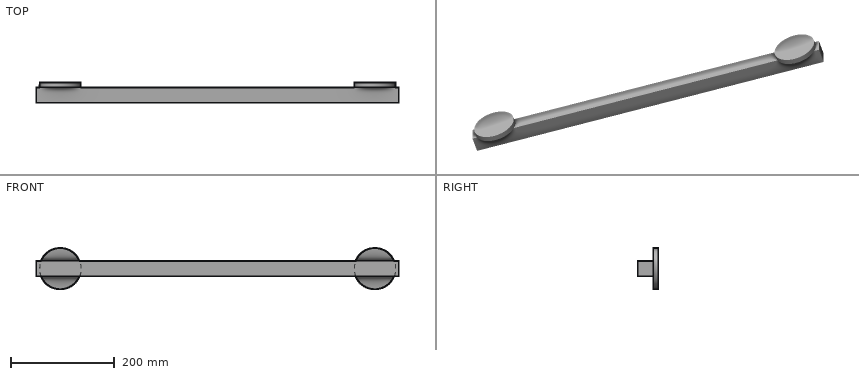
import cadquery as cq

rail_length = 700.0
rail_side = 30.0

disc_diameter = 80.0
disc_thickness = 10.0
disc_spacing = 607.0

rail_back_y = rail_side / 2


def make_rail():
    return cq.Workplane("XY").box(rail_length, rail_side, rail_side)


def make_disc(center_x):
    """Round wall plate standing on the back face of the rail."""
    return (
        cq.Workplane("XZ", origin=(center_x, rail_back_y, 0))
        .circle(disc_diameter / 2)
        .extrude(-disc_thickness)
    )


result = make_rail()
for side in (-1, 1):
    result = result.union(make_disc(side * disc_spacing / 2))